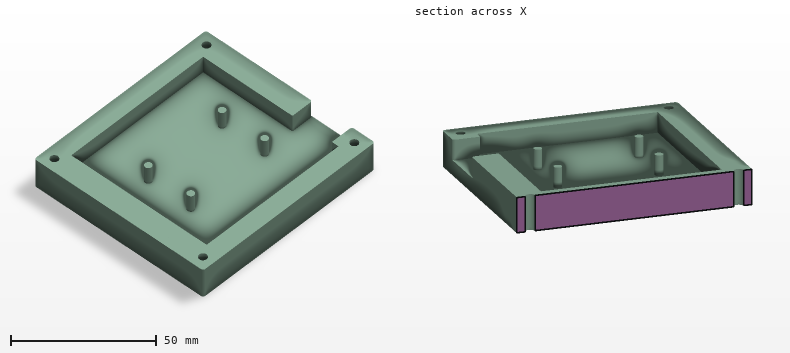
import cadquery as cq

length_x = 79.6
length_y = 86.0
height = 13.0
corner_radius = 1.0

left = -length_x / 2
right = length_x / 2
front = -length_y / 2
back = length_y / 2

left_wall = 8.1
right_wall = 7.7
end_wall = 10.0
floor_thickness = 5.5

opening_width = 18.6
opening_to_right_side = 10.8

hole_diameter = 3.4
hole_inset = 5.0
front_hole_inset = 4.8
front_right_hole_inset = 4.65

pin_diameter = 3.0
pin_spacing_x = 20.0
pin_spacing_y = 37.0
pin_center_x = 0.9
pin_center_y = 0.1


def box_between(x_start, x_end, y_start, y_end, z_start, z_end):
    return cq.Workplane("XY").box(
        x_end - x_start, y_end - y_start, z_end - z_start, centered=False
    ).translate((x_start, y_start, z_start))


body = box_between(left, right, front, back, 0, height).edges("|Z").fillet(corner_radius)
body = body.cut(
    box_between(
        left + left_wall, right - right_wall,
        front + end_wall, back - end_wall,
        floor_thickness, height,
    )
)

opening_right = right - opening_to_right_side
opening_left = opening_right - opening_width
body = body.cut(
    box_between(opening_left, opening_right, back - end_wall, back, floor_thickness, height)
)
for edge_x in (opening_left, opening_right):
    edge_middle = (edge_x, back, (floor_thickness + height) / 2)
    body = body.edges(cq.selectors.NearestToPointSelector(edge_middle)).fillet(corner_radius)

hole_centers = [
    (left + hole_inset, back - hole_inset),
    (right - hole_inset, back - hole_inset),
    (left + hole_inset, front + front_hole_inset),
    (right - front_right_hole_inset, front + front_hole_inset),
]
holes = cq.Workplane("XY").pushPoints(hole_centers).circle(hole_diameter / 2).extrude(height)
body = body.cut(holes)

pins = (
    cq.Workplane("XY", origin=(pin_center_x, pin_center_y, 0))
    .rarray(pin_spacing_x, pin_spacing_y, 2, 2)
    .circle(pin_diameter / 2)
    .extrude(height)
)
result = body.union(pins)